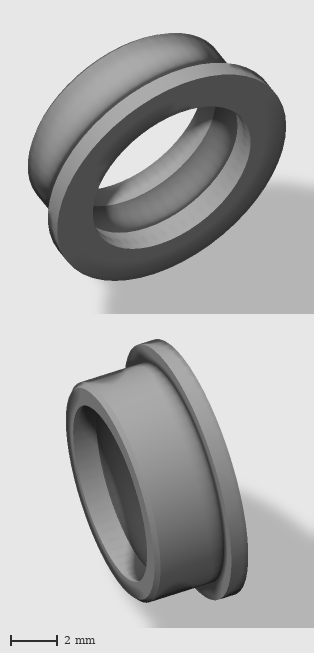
import cadquery as cq

ring_width = 4.0
flange_diameter = 11.6
flange_thickness = 0.8
body_diameter = 10.0
bore_diameter = 8.0
body_chamfer = 0.2

raceway_width = 1.8
raceway_depth = 0.65


def make_ring_blank():
    """Flanged sleeve from x = 0 to ring_width, with the flange at the +X end."""
    body = cq.Workplane("YZ").circle(body_diameter / 2).extrude(ring_width)
    body = body.faces("<X").edges().chamfer(body_chamfer)
    flange = (
        cq.Workplane("YZ", origin=(ring_width - flange_thickness, 0, 0))
        .circle(flange_diameter / 2)
        .extrude(flange_thickness)
    )
    bore = cq.Workplane("YZ").circle(bore_diameter / 2).extrude(ring_width)
    return body.union(flange).cut(bore)


def make_raceway_cutter():
    """Disc with an arched rim that hollows the raceway out of the bore wall."""
    middle = ring_width / 2
    start = middle - raceway_width / 2
    end = middle + raceway_width / 2
    bore_radius = bore_diameter / 2
    profile = (
        cq.Workplane("XY")
        .moveTo(start, 0)
        .lineTo(start, bore_radius)
        .threePointArc((middle, bore_radius + raceway_depth), (end, bore_radius))
        .lineTo(end, 0)
        .close()
    )
    return profile.revolve(360, (0, 0, 0), (1, 0, 0))


result = make_ring_blank().cut(make_raceway_cutter())